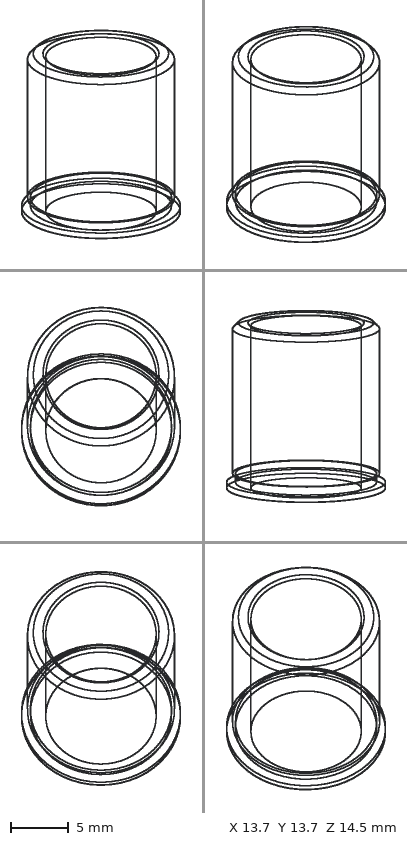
import cadquery as cq

height = 14.48
flange_diameter = 13.73
flange_thickness = 0.5
body_diameter = 12.7
neck_diameter = 12.19
neck_height = 0.75
rim_chamfer = 0.5
bore_diameter = 9.53
bore_chamfer = 0.25

body_bottom = flange_thickness + neck_height


def cylinder(diameter, bottom, top):
    """Upright cylinder on the Z axis between two heights."""
    return cq.Workplane("XY").workplane(offset=bottom).circle(diameter / 2).extrude(top - bottom)


flange = cylinder(flange_diameter, 0, flange_thickness)
neck = cylinder(neck_diameter, 0, body_bottom)
body = cylinder(body_diameter, body_bottom, height).faces(">Z").edges().chamfer(rim_chamfer)
sleeve = flange.union(neck).union(body)

sleeve = sleeve.cut(cylinder(bore_diameter, 0, height))
bore_mouth = cq.selectors.RadiusNthSelector(0)
result = sleeve.faces(">Z").edges(bore_mouth).chamfer(bore_chamfer)